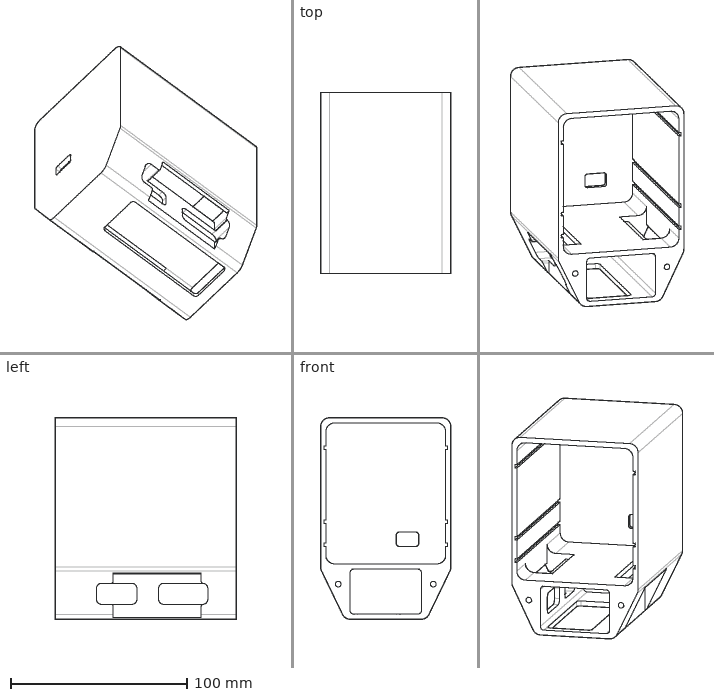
import cadquery as cq

width = 74.0
length = 103.0
height = 114.5
outline_radius = 5.0

wall = 3.0
back_wall = 3.0
compartment_depth = length - back_wall

lower_width = 40.5
lower_height = 25.5
lower_radius = 2.0
lower_top_z = wall + lower_height

foot_half_width = lower_width / 2 + wall
flank_top_z = lower_top_z

upper_half_width = width / 2 - wall
upper_floor_z = lower_top_z + wall
upper_top_z = height - wall
upper_radius = 5.0

groove_width = 2.0
groove_depth = 1.2
groove_heights = (42.5, 55.5, 97.5)

window_width = 12.6
window_height = 8.0
window_x = 12.35
window_z = 45.5
window_radius = 1.5

screw_diameter = 3.2
screw_depth = 10.0
screw_x = 27.0
screw_z = 20.0

recess_front = 20.0
recess_length = 50.0
recess_back = recess_front + recess_length
recess_outer_top_z = 26.3
recess_inner_top_z = 25.7
recess_rim_x = 36.0

passage_inner_x = 18.25

slot_spans = ((16.25, 44.25), (56.5, 79.5))
slot_bottom_z = 8.5
slot_height = 12.0
slot_top_z = slot_bottom_z + slot_height
slot_radius = 3.0
slot_blend_radius = 1.0

hatch_left_x = -18.0
hatch_right_x = 8.0
hatch_front = 6.5
hatch_back = 77.0
hatch_radius = 2.0


def box(x_min, x_max, y_min, y_max, z_min, z_max):
    """Axis-aligned box between two corners."""
    size = (x_max - x_min, y_max - y_min, z_max - z_min)
    return cq.Workplane("XY").box(*size, centered=False).translate((x_min, y_min, z_min))


def make_body():
    half = width / 2
    outline = [
        (-foot_half_width, 0),
        (foot_half_width, 0),
        (half, flank_top_z),
        (half, height),
        (-half, height),
        (-half, flank_top_z),
    ]
    body = cq.Workplane("XZ").polyline(outline).close().extrude(-length)
    return body.edges("|Y").fillet(outline_radius)


def make_upper_compartment():
    half = upper_half_width
    cavity = box(-half, half, 0, compartment_depth, upper_floor_z, upper_top_z)
    cavity = cavity.edges("|Y").fillet(upper_radius)
    reach = half + groove_depth
    for z in groove_heights:
        bottom = z - groove_width / 2
        groove = box(-reach, reach, 0, compartment_depth, bottom, bottom + groove_width)
        cavity = cavity.union(groove)
    return cavity


def make_lower_compartment():
    half = lower_width / 2
    cavity = box(-half, half, 0, compartment_depth, wall, lower_top_z)
    return cavity.edges("|Y").fillet(lower_radius)


def make_window():
    left = window_x - window_width / 2
    bottom = window_z - window_height / 2
    window = box(left, left + window_width, compartment_depth, length, bottom, bottom + window_height)
    return window.edges("|Y").fillet(window_radius)


def make_screw_holes():
    centers = [(-screw_x, screw_z), (screw_x, screw_z)]
    return cq.Workplane("XZ").pushPoints(centers).circle(screw_diameter / 2).extrude(-screw_depth)


def make_right_recess():
    """Flank recess and the passage that continues it up into the upper compartment."""
    passage_top_z = upper_floor_z + upper_radius
    profile = [
        (foot_half_width, 0),
        (width / 2, 0),
        (width / 2, recess_outer_top_z),
        (recess_rim_x, recess_outer_top_z),
        (upper_half_width, recess_inner_top_z),
        (upper_half_width, passage_top_z),
        (passage_inner_x, passage_top_z),
        (passage_inner_x, lower_top_z),
        (foot_half_width, lower_top_z),
    ]
    recess = cq.Workplane("XZ").polyline(profile).close().extrude(-recess_length)
    return recess.translate((0, recess_front, 0))


def make_slot(front, back):
    slot = box(-width / 2, 0, front, back, slot_bottom_z, slot_top_z)
    return slot.edges("|X").fillet(slot_radius)


def make_slot_blend(y, y_side, z, z_side):
    """Cutter that rounds the corner where an end of the recess meets a slot."""
    r = slot_blend_radius
    blend = (
        cq.Workplane("YZ")
        .moveTo(y, z)
        .lineTo(y + y_side * r, z)
        .radiusArc((y, z + z_side * r), r * y_side * z_side)
        .close()
        .extrude(foot_half_width - width / 2)
    )
    return blend.translate((-foot_half_width, 0, 0))


def make_hatch():
    hatch = box(hatch_left_x, hatch_right_x, hatch_front, hatch_back, 0, wall)
    return hatch.edges("|Z").fillet(hatch_radius)


right_recess = make_right_recess()

result = make_body()
result = result.cut(make_upper_compartment())
result = result.cut(make_lower_compartment())
result = result.cut(make_window())
result = result.cut(make_screw_holes())
result = result.cut(right_recess)
result = result.cut(right_recess.mirror("YZ"))
for front, back in slot_spans:
    result = result.cut(make_slot(front, back))
for y, y_side in ((recess_front, -1), (recess_back, 1)):
    result = result.cut(make_slot_blend(y, y_side, slot_bottom_z, -1))
    result = result.cut(make_slot_blend(y, y_side, slot_top_z, 1))
result = result.cut(make_hatch())